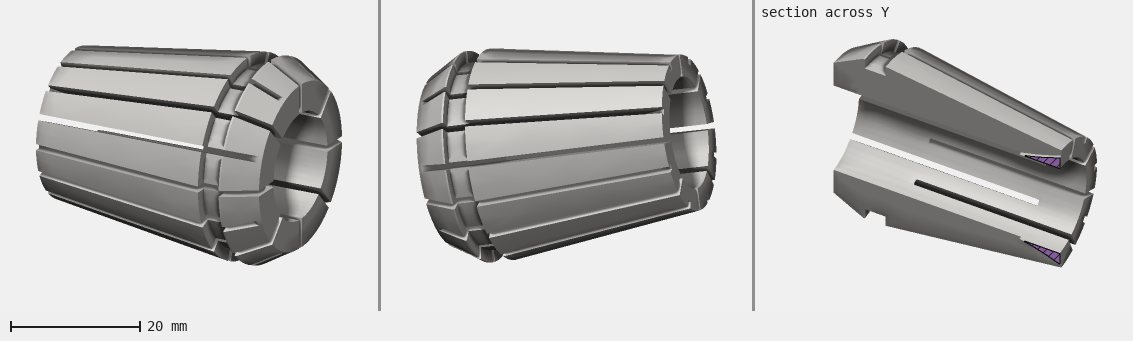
import cadquery as cq
import math

length = 40.0
max_diameter = 33.0
bore_radius = 8.75
body_taper = 8.0
nose_taper = 30.0

groove_start = 30.9
groove_end = 34.5
groove_radius = 14.6
nose_land = 0.3

slots_per_set = 8
slot_width = 1.0
saw_radius = 40.0
saw_depth_radius = 7.7
front_web_radius = 11.1
nose_web = 0.55

slot_pitch = 360.0 / slots_per_set
max_radius = max_diameter / 2
small_end_radius = max_radius - groove_start * math.tan(math.radians(body_taper))
nose_cone_start = groove_end + nose_land
nose_end_radius = max_radius - (length - nose_cone_start) * math.tan(math.radians(nose_taper))
saw_center_radius = saw_depth_radius + saw_radius
nose_web_radius = nose_end_radius + nose_web * math.tan(math.radians(nose_taper))


def make_body():
    """Revolve the half section about X, with the small end at x = 0."""
    return (
        cq.Workplane("XY")
        .moveTo(0, bore_radius)
        .lineTo(0, small_end_radius)
        .lineTo(groove_start, max_radius)
        .lineTo(groove_start, groove_radius)
        .lineTo(groove_end, groove_radius)
        .lineTo(groove_end, max_radius)
        .lineTo(nose_cone_start, max_radius)
        .lineTo(length, nose_end_radius)
        .lineTo(length, bore_radius)
        .close()
        .revolve(360, (0, 0, 0), (1, 0, 0))
    )


def saw_runout(radius):
    """Distance along X from the saw center to where its edge is at this radius from the axis."""
    return math.sqrt(saw_radius**2 - (saw_center_radius - radius) ** 2)


def slot_cutter(x_open, x_center, direction):
    """Saw path on the +Z side, from the open end to the saw center, then out along its rim.

    direction is the sign of the feed along X.
    """
    rim_step = saw_radius * math.sqrt(0.5)
    rim_middle = (x_center + direction * rim_step, saw_center_radius - rim_step)
    rim_end = (x_center + direction * saw_radius, saw_center_radius)
    return (
        cq.Workplane("XZ")
        .moveTo(x_open, saw_depth_radius)
        .lineTo(x_center, saw_depth_radius)
        .threePointArc(rim_middle, rim_end)
        .lineTo(x_open, saw_center_radius)
        .close()
        .extrude(slot_width / 2, both=True)
    )


def cut_slots(body, cutter, first_angle):
    """Cut one evenly spaced set of slots around the axis."""
    for i in range(slots_per_set):
        angle = first_angle + i * slot_pitch
        body = body.cut(cutter.rotate((0, 0, 0), (1, 0, 0), angle))
    return body


nose_slot = slot_cutter(length, saw_runout(front_web_radius), -1)
body_slot = slot_cutter(0, length - nose_web - saw_runout(nose_web_radius), 1)

result = make_body()
result = cut_slots(result, nose_slot, 0)
result = cut_slots(result, body_slot, slot_pitch / 2)
result = result.translate((-length / 2, 0, 0))